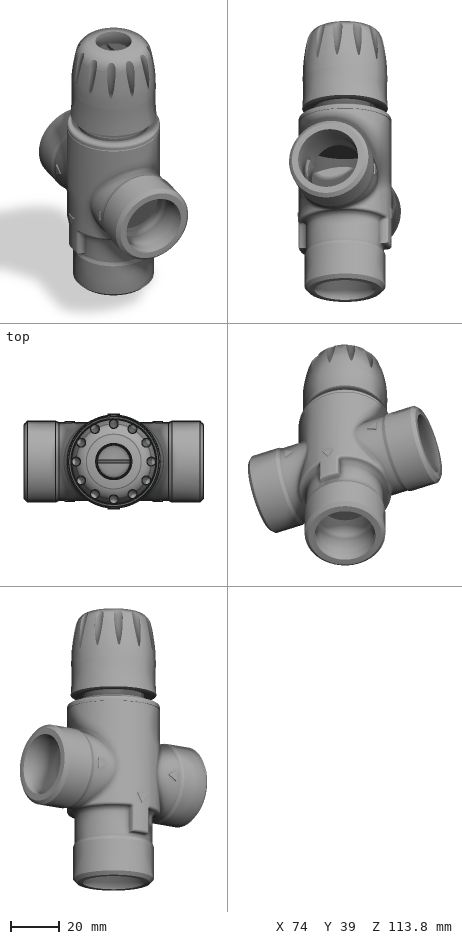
import cadquery as cq
import math

tolerance = 0.01

total_height = 113.8
total_depth = 39.0
port_reach = 37.0
port_height = 45.0

barrel_radius = 19.1
barrel_top = 72.6
barrel_chamfer = 0.3
step_height = 28.9
edge_round = 1.0
flare_radius = 1.8

rib_half_width = 4.1
rib_bottom = 18.0
rib_corner_radius = 0.8
rib_base_radius = 0.7

pipe_radius = 33.2 / 2
neck_radius = 32.0 / 2
pipe_chamfer = 1.5
side_thread_length = 13.0
outlet_thread_length = 15.0
neck_taper = 1.5
port_root_fillet = 1.4

bore_radius = 25.0 / 2
inner_bore_radius = 11.6
wide_bore_depth = 14.2
bore_cone_length = 1.7
bore_depth = 25.6
blind_bore_depth = 19.3

chamber_radius = 32.8 / 2
seat_height = 50.0
seat_radius = 10.7
seat_drop = 2.5

arrow_length = 4.1
arrow_half_width = 2.3
outlet_arrow_base = 34.3
outlet_arrow_face = total_depth / 2
port_arrow_base = 20.1
port_arrow_face = 16.5
arrow_root = 13.7

plug_bottom = 62.6
collar_round_start = 73.6
collar_top = 74.7
collar_top_radius = 18.5
flange_radius = 30.0 / 2
flange_top = 76.0
bonnet_neck_radius = 25.1 / 2
bonnet_neck_foot_radius = 13.0
bonnet_neck_foot_top = 77.0
bonnet_neck_top = 95.6
bonnet_flat = 11.3

spindle_radius = 13.5 / 2
spindle_rim = 108.6
spindle_rise = 0.3
slot_width = 1.4
slot_depth = 2.0

knob_bottom = 78.9
knob_bottom_radius = 17.6
knob_waist_height = 85.4
knob_waist_radius = 17.3
knob_belt_height = 91.5
knob_belt_radius = 17.4
knob_side_height = 101.3
knob_side_radius = 16.8
knob_shoulder_height = 108.7
knob_shoulder_radius = 15.5
knob_round_height = 111.6
knob_round_radius = 13.8
knob_crown_height = 113.1
knob_crown_radius = 11.3
knob_dome_height = 113.6
knob_dome_radius = 9.5
knob_cavity_radius = 25.5 / 2
recess_floor = 107.0
recess_floor_radius = 14.0 / 2
recess_top_radius = 14.9 / 2
flute_count = 12
flute_radius = 1.8
flute_circle_radius = 15.5
flute_round_height = 96.7


def cylinder(radius, bottom, top):
    return cq.Workplane("XY").workplane(offset=bottom).circle(radius).extrude(top - bottom)


def on_side_port(shape, side):
    """Turn a shape built along +Z from the origin so it runs inwards from a side port's face."""
    turned = shape.rotate((0, 0, 0), (0, 1, 0), -90 * side)
    return turned.translate((side * port_reach, 0, port_height))


def pipe_end(thread_length, length):
    """Chamfered thread blank, then a short cone down to the neck; its face is at Z = 0."""
    profile = (
        cq.Workplane("XZ")
        .lineTo(pipe_radius - pipe_chamfer, 0)
        .lineTo(pipe_radius, pipe_chamfer)
        .lineTo(pipe_radius, thread_length)
        .lineTo(neck_radius, thread_length + neck_taper)
        .lineTo(neck_radius, length)
        .lineTo(0, length)
        .close()
    )
    return profile.revolve(360, (0, 0), (0, 1))


def pipe_bore(depth):
    """Flat-floored bore from Z = 0 that narrows over a short cone part of the way in."""
    profile = (
        cq.Workplane("XZ")
        .lineTo(bore_radius, 0)
        .lineTo(bore_radius, wide_bore_depth)
        .lineTo(inner_bore_radius, wide_bore_depth + bore_cone_length)
        .lineTo(inner_bore_radius, depth)
        .lineTo(0, depth)
        .close()
    )
    return profile.revolve(360, (0, 0), (0, 1))


def stepped_barrel():
    """Barrel cut back to a step at its lower end, leaving one rib in front and one behind."""
    outside = 2 * barrel_radius
    below_step = (
        cq.Workplane("XZ")
        .moveTo(-outside, 0)
        .lineTo(outside, 0)
        .lineTo(outside, step_height)
        .lineTo(rib_half_width, step_height)
        .lineTo(rib_half_width, rib_bottom)
        .lineTo(-rib_half_width, rib_bottom)
        .lineTo(-rib_half_width, step_height)
        .lineTo(-outside, step_height)
        .close()
        .extrude(outside, both=True)
    )
    rib_corners = cq.selectors.BoxSelector(
        (-barrel_radius, -outside, rib_bottom + edge_round),
        (barrel_radius, outside, barrel_top),
    )
    below_step = below_step.edges("|Y").edges(rib_corners).fillet(rib_corner_radius)
    barrel = cylinder(barrel_radius, 0, barrel_top).cut(below_step)
    barrel = barrel.faces(">Z").edges().chamfer(barrel_chamfer)

    wall = barrel.faces("%CYLINDER").faces(cq.selectors.AreaNthSelector(-1))
    lower_edges = [edge for edge in wall.edges().vals() if edge.BoundingBox().zmax < barrel_top / 2]
    return barrel.newObject(lower_edges).fillet(edge_round)


def is_rib_base(edge):
    """True for the edges where the ribs and the step meet the outlet neck."""
    samples = [edge.positionAt(part) for part in (0, 0.5, 1)]
    on_neck = all(abs(math.hypot(point.x, point.y) - neck_radius) < tolerance for point in samples)
    box = edge.BoundingBox()
    return on_neck and box.zmin > rib_bottom - tolerance and box.zmax < step_height + tolerance


def is_port_root(edge):
    """True for the saddle curves where the side port necks meet the barrel."""
    box = edge.BoundingBox()
    is_saddle = edge.geomType() not in ("LINE", "CIRCLE") and box.zlen > flare_radius
    return is_saddle and edge.Center().z > step_height + edge_round


def step_flare():
    """Ring that sweeps the outlet neck out to the underside of the step."""
    inner_radius = bore_radius + flare_radius
    profile = (
        cq.Workplane("XZ")
        .moveTo(inner_radius, step_height - flare_radius)
        .lineTo(neck_radius, step_height - flare_radius)
        .radiusArc((neck_radius + flare_radius, step_height), flare_radius)
        .lineTo(inner_radius, step_height)
        .close()
    )
    return profile.revolve(360, (0, 0), (0, 1))


def arrow(plane, base, face):
    """Triangular prism on a plane, pointing along its -X from `base`."""
    tip = base - arrow_length
    corners = [(base, -arrow_half_width), (base, arrow_half_width), (tip, 0)]
    outline = cq.Workplane(plane).polyline(corners).close()
    return outline.extrude(face - arrow_root)


def flow_arrows():
    """Raised arrows in front and behind: one on the barrel and one on each side port."""
    arrows = cq.Workplane("XY")
    for face_side in (-1, 1):
        outlet_plane = cq.Plane((0, face_side * arrow_root, 0), (0, 0, 1), (0, face_side, 0))
        outlet_arrow = arrow(outlet_plane, outlet_arrow_base, outlet_arrow_face)
        arrows = arrows.add(outlet_arrow)
        for side in (-1, 1):
            port_plane = cq.Plane((0, face_side * arrow_root, port_height), (side, 0, 0), (0, face_side, 0))
            arrows = arrows.add(arrow(port_plane, port_arrow_base, port_arrow_face))
    return arrows


def chamber():
    """Valve chamber around a flat seat that falls away to the wall as a cone."""
    profile = (
        cq.Workplane("XZ")
        .moveTo(0, seat_height)
        .lineTo(seat_radius, seat_height)
        .lineTo(chamber_radius, seat_height - seat_drop)
        .lineTo(chamber_radius, barrel_top)
        .lineTo(0, barrel_top)
        .close()
    )
    return profile.revolve(360, (0, 0), (0, 1))


def inlet_passage():
    """Full-width opening from the -X port into the chamber, above the level of the seat."""
    passage = on_side_port(cylinder(bore_radius, wide_bore_depth, port_reach), -1)
    return passage.intersect(
        cq.Workplane("XY")
        .workplane(offset=seat_height)
        .rect(2 * port_reach, 2 * bore_radius)
        .extrude(bore_radius)
    )


def make_housing():
    """Barrel with outlet, side ports and arrows, hollowed by the chamber and the pipe bores."""
    body = stepped_barrel().union(pipe_end(outlet_thread_length, step_height + edge_round))
    body = body.newObject(list(filter(is_rib_base, body.edges().vals()))).fillet(rib_base_radius)
    for side in (-1, 1):
        body = body.union(on_side_port(pipe_end(side_thread_length, port_reach), side))
    body = body.newObject(list(filter(is_port_root, body.edges().vals()))).fillet(port_root_fillet)
    body = body.union(step_flare())
    for flow_arrow in flow_arrows().vals():
        body = body.union(cq.Workplane(flow_arrow))
    body = body.cut(chamber()).cut(pipe_bore(bore_depth))
    body = body.cut(on_side_port(pipe_bore(bore_depth), -1)).cut(inlet_passage())
    return body.cut(on_side_port(pipe_bore(blind_bore_depth), 1))


def make_bonnet():
    """Plug closing the chamber, with a rounded collar, a flange and a neck with two wrench flats."""
    base_profile = (
        cq.Workplane("XZ")
        .moveTo(0, plug_bottom)
        .lineTo(chamber_radius, plug_bottom)
        .lineTo(chamber_radius, barrel_top)
        .lineTo(barrel_radius, barrel_top)
        .lineTo(barrel_radius, collar_round_start)
        .tangentArcPoint((collar_top_radius, collar_top), relative=False)
        .lineTo(flange_radius, collar_top)
        .lineTo(flange_radius, flange_top)
        .lineTo(0, flange_top)
        .close()
    )
    neck_profile = (
        cq.Workplane("XZ")
        .moveTo(0, flange_top)
        .lineTo(bonnet_neck_foot_radius, flange_top)
        .lineTo(bonnet_neck_radius, bonnet_neck_foot_top)
        .lineTo(bonnet_neck_radius, bonnet_neck_top)
        .lineTo(0, bonnet_neck_top)
        .close()
    )
    base = base_profile.revolve(360, (0, 0), (0, 1))
    neck = neck_profile.revolve(360, (0, 0), (0, 1))
    flats = (
        cq.Workplane("XY")
        .workplane(offset=flange_top)
        .rect(2 * bonnet_neck_foot_radius, 2 * bonnet_flat)
        .extrude(bonnet_neck_top - flange_top)
    )
    return base.union(neck.intersect(flats)).cut(cylinder(spindle_radius, plug_bottom, bonnet_neck_top))


def make_spindle():
    """Round spindle with a slightly conical, slotted end."""
    crown = spindle_rim + spindle_rise
    profile = (
        cq.Workplane("XZ")
        .moveTo(0, plug_bottom)
        .lineTo(spindle_radius, plug_bottom)
        .lineTo(spindle_radius, spindle_rim)
        .lineTo(0, crown)
        .close()
    )
    slot = (
        cq.Workplane("XY")
        .workplane(offset=crown - slot_depth)
        .rect(2 * spindle_radius, slot_width)
        .extrude(slot_depth)
    )
    return profile.revolve(360, (0, 0), (0, 1)).cut(slot)


def flute_cutter():
    """Upright round-ended cutter for the flute on the +X side."""
    shank = cylinder(flute_radius, flute_round_height, total_height)
    cutter = shank.union(cq.Workplane("XY").sphere(flute_radius).translate((0, 0, flute_round_height)))
    return cutter.translate((flute_circle_radius, 0, 0))


def make_knob():
    """Hollow fluted knob, bored for the spindle, with a tapered recess in its top."""
    profile = (
        cq.Workplane("XZ")
        .moveTo(knob_cavity_radius, knob_bottom)
        .lineTo(knob_bottom_radius, knob_bottom)
        .threePointArc((knob_waist_radius, knob_waist_height), (knob_belt_radius, knob_belt_height))
        .threePointArc((knob_side_radius, knob_side_height), (knob_shoulder_radius, knob_shoulder_height))
        .threePointArc((knob_round_radius, knob_round_height), (knob_crown_radius, knob_crown_height))
        .threePointArc((knob_dome_radius, knob_dome_height), (recess_top_radius, total_height))
        .lineTo(recess_floor_radius, recess_floor)
        .lineTo(spindle_radius, recess_floor)
        .lineTo(spindle_radius, bonnet_neck_top)
        .lineTo(knob_cavity_radius, bonnet_neck_top)
        .close()
    )
    knob = profile.revolve(360, (0, 0), (0, 1))
    for index in range(flute_count):
        angle = 360 * index / flute_count
        knob = knob.cut(flute_cutter().rotate((0, 0, 0), (0, 0, 1), angle))
    return knob


housing = make_housing()
bonnet = make_bonnet()
spindle = make_spindle()
knob = make_knob()

bodies = [housing, bonnet, spindle, knob]
result = cq.Compound.makeCompound([body.solids().val() for body in bodies])